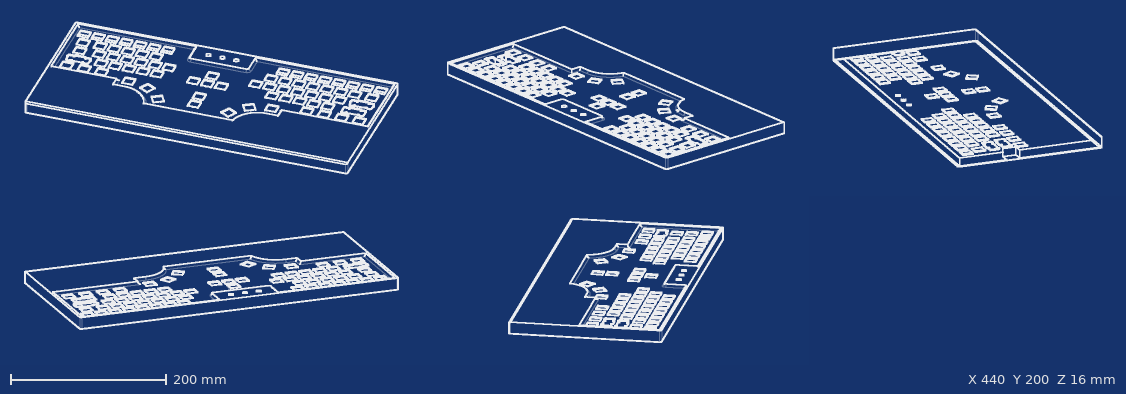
import cadquery as cq
import math

LENGTH = 440.0
WIDTH = 200.0
HEIGHT = 16.0
TOP = HEIGHT / 2
BOTTOM = -HEIGHT / 2
CORNER_RADIUS = 2.4
FRONT_BEVEL_DEPTH = 2.5
FRONT_BEVEL_DROP = 1.8

WALL = 3.0
PLATE_THICKNESS = 1.5
BLOCK_DEPTH = 12.8
BLOCK_LENGTH = 18.0
BLOCK_FRONT_Y = 13.5

RECESS_DEPTH = 3.3
FLOOR_Z = TOP - RECESS_DEPTH
FLOOR_FILLET = 3.0
RIM_SIDE = 4.0
RIM_BACK = 2.85
FIELD_LEFT = -LENGTH / 2 + RIM_SIDE
FIELD_RIGHT = LENGTH / 2 - RIM_SIDE
FIELD_BACK = WIDTH / 2 - RIM_BACK
FIELD_FRONT = -8.5
CENTRE_X = -14.0
THUMB_HALF = 112.5
THUMB_SHELF_HALF = 97.0
THUMB_SHELF_Y = -22.5
THUMB_FRONT_HALF = 60.5
THUMB_FRONT_Y = -52.0

TAB_HALF = 40.5
TAB_FRONT = 67.8
TAB_CORNER = 2.5
LED_DIAMETER = 6.0
LED_Y = 83.0

KEY = 14.0
SEVEN_KEY_SPAN = 114.5
PITCH = SEVEN_KEY_SPAN / 6
WIDE_PITCH = 1.25 * PITCH
FIRST_ROW_Y = 82.0
ROW_Y = [FIRST_ROW_Y - row * PITCH for row in range(5)]

KEY_RUNS = [
    (0, -202.5, 7, PITCH),
    (0, 69.0, 8, PITCH),
    (1, -197.0, 1, PITCH),
    (1, -174.0, 5, PITCH),
    (1, 59.5, 7, PITCH),
    (1, 197.0, 1, PITCH),
    (2, -195.0, 1, PITCH),
    (2, -168.5, 6, PITCH),
    (2, CENTRE_X, 1, PITCH),
    (2, 45.5, 7, PITCH),
    (3, -159.5, 5, PITCH),
    (3, CENTRE_X - PITCH, 3, PITCH),
    (3, 74.0, 5, PITCH),
    (4, -199.8, 3, WIDE_PITCH),
    (4, 128.0, 4, WIDE_PITCH),
]
LOWER_PAIR_Y = -7.5

THUMB_KEYS = [(97.5, -3.5, 0), (69.5, -11.0, 30), (48.5, -31.2, 60)]

WIDE_KEYS = [(2, 190.0, True), (3, -190.0, True), (3, 185.5, False)]
STAB_OFFSET = 12.0
STAB_WIDTH = 6.5
STAB_TOP = 5.5
STAB_BOTTOM = -6.5
STAB_TAB_WIDTH = 3.05
STAB_TAB_BOTTOM = -8.0
STAB_NOTCH_HALF = 16.5
STAB_NOTCH_BOTTOM = -0.5
STAB_NOTCH_TOP = 2.3
WEB_TOP = 4.5
WEB_BOTTOM = -5.5


def block(x0, x1, y0, y1, z0, z1):
    """Axis-aligned block between two opposite corners."""
    return cq.Workplane("XY").box(x1 - x0, y1 - y0, z1 - z0, centered=False).translate((x0, y0, z0))


def make_body():
    body = cq.Workplane("XY").box(LENGTH, WIDTH, HEIGHT).edges("|Z").fillet(CORNER_RADIUS)
    front = -WIDTH / 2
    front_inner = front + FRONT_BEVEL_DEPTH
    bevel = (
        cq.Workplane("YZ")
        .polyline([(front, TOP), (front_inner, TOP), (front, TOP - FRONT_BEVEL_DROP)])
        .close()
        .extrude(LENGTH / 2, both=True)
    )
    return body.cut(bevel)


def make_cavity():
    inner_x = LENGTH / 2 - WALL
    inner_y = WIDTH / 2 - WALL
    roof = FLOOR_Z - PLATE_THICKNESS
    cavity = block(-inner_x, inner_x, -inner_y, inner_y, BOTTOM, roof)
    block_back = BLOCK_FRONT_Y + BLOCK_LENGTH
    side_block = block(inner_x - BLOCK_DEPTH, inner_x, BLOCK_FRONT_Y, block_back, BOTTOM, roof)
    return cavity.cut(side_block)


def make_recess():
    """Sunken field: outline with the thumb bay in front and the tab notched out at the back."""
    arc_reach = THUMB_SHELF_HALF - THUMB_FRONT_HALF
    arc_drop = THUMB_SHELF_Y - THUMB_FRONT_Y
    arc_radius = (arc_reach**2 + arc_drop**2) / (2 * arc_drop)
    half_swing = math.asin(arc_reach / arc_radius) / 2
    middle_half = THUMB_SHELF_HALF - arc_radius * math.sin(half_swing)
    middle_y = THUMB_SHELF_Y - arc_radius * (1 - math.cos(half_swing))

    recess = (
        cq.Workplane("XY", origin=(0, 0, FLOOR_Z))
        .moveTo(FIELD_LEFT, FIELD_BACK)
        .lineTo(FIELD_LEFT, FIELD_FRONT)
        .lineTo(CENTRE_X - THUMB_HALF, FIELD_FRONT)
        .lineTo(CENTRE_X - THUMB_HALF, THUMB_SHELF_Y)
        .lineTo(CENTRE_X - THUMB_SHELF_HALF, THUMB_SHELF_Y)
        .threePointArc((CENTRE_X - middle_half, middle_y), (CENTRE_X - THUMB_FRONT_HALF, THUMB_FRONT_Y))
        .lineTo(CENTRE_X + THUMB_FRONT_HALF, THUMB_FRONT_Y)
        .threePointArc((CENTRE_X + middle_half, middle_y), (CENTRE_X + THUMB_SHELF_HALF, THUMB_SHELF_Y))
        .lineTo(CENTRE_X + THUMB_HALF, THUMB_SHELF_Y)
        .lineTo(CENTRE_X + THUMB_HALF, FIELD_FRONT)
        .lineTo(FIELD_RIGHT, FIELD_FRONT)
        .lineTo(FIELD_RIGHT, FIELD_BACK)
        .lineTo(CENTRE_X + TAB_HALF, FIELD_BACK)
        .lineTo(CENTRE_X + TAB_HALF, TAB_FRONT + TAB_CORNER)
        .radiusArc((CENTRE_X + TAB_HALF - TAB_CORNER, TAB_FRONT), TAB_CORNER)
        .lineTo(CENTRE_X - TAB_HALF + TAB_CORNER, TAB_FRONT)
        .radiusArc((CENTRE_X - TAB_HALF, TAB_FRONT + TAB_CORNER), TAB_CORNER)
        .lineTo(CENTRE_X - TAB_HALF, FIELD_BACK)
        .close()
        .extrude(RECESS_DEPTH)
    )
    return recess.faces("<Z").edges().fillet(FLOOR_FILLET)


def through(x0, x1, y0, y1):
    """Rectangular cutter over the full height."""
    return block(x0, x1, y0, y1, BOTTOM, TOP)


def key_opening(x, y, turn=0):
    half = KEY / 2
    return through(-half, half, -half, half).rotate((0, 0, 0), (0, 0, 1), turn).translate((x, y, 0))


def wide_key_opening(x, y, notched):
    """Key opening joined to a stabiliser opening on each side."""
    half = KEY / 2
    opening = through(-half, half, -half, half)
    opening = opening.union(through(-STAB_OFFSET, STAB_OFFSET, WEB_BOTTOM, WEB_TOP))
    if notched:
        notches = through(-STAB_NOTCH_HALF, STAB_NOTCH_HALF, STAB_NOTCH_BOTTOM, STAB_NOTCH_TOP)
        opening = opening.union(notches)
    for centre in (-STAB_OFFSET, STAB_OFFSET):
        for width, low in ((STAB_WIDTH, STAB_BOTTOM), (STAB_TAB_WIDTH, STAB_TAB_BOTTOM)):
            opening = opening.union(through(centre - width / 2, centre + width / 2, low, STAB_TOP))
    return opening.translate((x, y, 0))


def make_openings():
    """All switch openings, as a list of separate cutters."""
    openings = []
    for row, first_x, count, spacing in KEY_RUNS:
        for index in range(count):
            openings.append(key_opening(first_x + index * spacing, ROW_Y[row]))
    for index in range(2):
        openings.append(key_opening(CENTRE_X, LOWER_PAIR_Y - index * PITCH))
    for distance, y, turn in THUMB_KEYS:
        openings.append(key_opening(CENTRE_X - distance, y, -turn))
        openings.append(key_opening(CENTRE_X + distance, y, turn))
    for row, x, notched in WIDE_KEYS:
        openings.append(wide_key_opening(x, ROW_Y[row], notched))
    return openings


def make_led_holes():
    centres = [(CENTRE_X + step * PITCH, LED_Y) for step in (-1, 0, 1)]
    return (
        cq.Workplane("XY", origin=(0, 0, BOTTOM))
        .pushPoints(centres)
        .circle(LED_DIAMETER / 2)
        .extrude(HEIGHT)
    )


result = make_body().cut(make_cavity()).cut(make_recess()).cut(make_led_holes())
cutters = [opening.val() for opening in make_openings()]
result = result.cut(cq.Workplane(cq.Compound.makeCompound(cutters)))